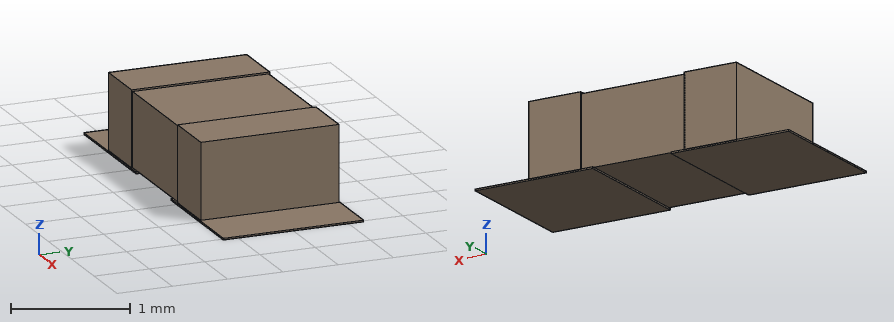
import cadquery as cq

overall_length = 3.05
overall_width = 1.27
overall_height = 0.7

pad_length = 1.145
pad_thickness = 0.015

chip_length = 2.02
cap_length = 0.505
cap_width = 1.25
cap_rise = 0.015
body_width = 1.232

cap_height = overall_height - pad_thickness
body_length = chip_length - 2 * cap_length
body_height = cap_height - cap_rise


def block(length, width, height, center_x, bottom_z):
    """Box centred on Y that stands on bottom_z."""
    return (
        cq.Workplane("XY")
        .box(length, width, height, centered=(True, True, False))
        .translate((center_x, 0, bottom_z))
    )


result = block(body_length, body_width, body_height, 0, pad_thickness)

for side in (-1, 1):
    pad_x = side * (overall_length - pad_length) / 2
    cap_x = side * (chip_length - cap_length) / 2
    pad = block(pad_length, overall_width, pad_thickness, pad_x, 0)
    cap = block(cap_length, cap_width, cap_height, cap_x, pad_thickness)
    result = result.union(pad).union(cap)